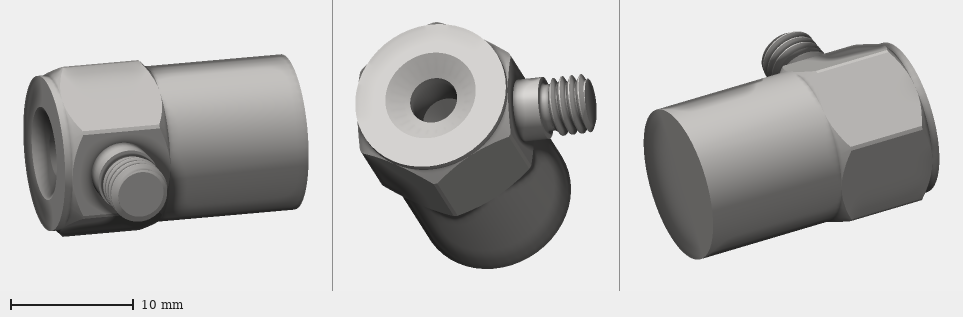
import cadquery as cq
import math

BODY_DIAMETER = 12.7
BODY_LENGTH = 20.57
BODY_RADIUS = BODY_DIAMETER / 2

HEX_START = 0.635
HEX_END = 8.89
HEX_CORNER_DIAMETER = 14.48
HEX_CORNER_RADIUS = HEX_CORNER_DIAMETER / 2
HEX_CHAMFER = HEX_CORNER_RADIUS - BODY_RADIUS

COUNTERSINK_DIAMETER = 7.62
COUNTERSINK_DEPTH = 1.0
BORE_DIAMETER = 3.96
BORE_END = 5.08
DRILL_TIP_ANGLE = 118.0

CONNECTOR_Y = (HEX_START + HEX_END) / 2
COLLAR_DIAMETER = 5.08
COLLAR_END = 8.45
NECK_FILLET = 0.2
CONNECTOR_LENGTH = 5.87
CONNECTOR_END = BODY_RADIUS + CONNECTOR_LENGTH

THREAD_MAJOR_DIAMETER = 4.83
THREAD_MINOR_DIAMETER = 3.81
INCH = 25.4
THREADS_PER_INCH = 32
THREAD_PITCH = INCH / THREADS_PER_INCH
THREAD_START = 9.13
THREAD_RUNOUT = 0.3
THREAD_FLANK_ANGLE = 30.0
CREST_FLAT = THREAD_PITCH / 8
CREST_TOP_X = 10.02
MAJOR_RADIUS = THREAD_MAJOR_DIAMETER / 2
MINOR_RADIUS = THREAD_MINOR_DIAMETER / 2
ROOT_OVERLAP = 0.1
CREST_CLEARANCE = 0.1


def cylinder_along_y(radius, start, end):
    return cq.Workplane("XZ", origin=(0, start, 0)).circle(radius).extrude(start - end)


def revolve_about_y(outline):
    """Revolve a closed outline of (radius, y) points about the Y axis."""
    return cq.Workplane("XY").polyline(outline).close().revolve(360, (0, 0, 0), (0, 1, 0))


def make_housing():
    body = cylinder_along_y(BODY_RADIUS, 0, BODY_LENGTH)
    hexagon = (
        cq.Workplane("XZ", origin=(0, HEX_START, 0))
        .polygon(6, BODY_DIAMETER, circumscribed=True)
        .extrude(HEX_START - HEX_END)
    )
    corner_envelope = revolve_about_y([
        (0, HEX_START),
        (BODY_RADIUS, HEX_START),
        (HEX_CORNER_RADIUS, HEX_START + HEX_CHAMFER),
        (HEX_CORNER_RADIUS, HEX_END - HEX_CHAMFER),
        (BODY_RADIUS, HEX_END),
        (0, HEX_END),
    ])
    return body.union(hexagon.intersect(corner_envelope))


def make_mounting_hole():
    bore_radius = BORE_DIAMETER / 2
    tip_length = bore_radius / math.tan(math.radians(DRILL_TIP_ANGLE / 2))
    return revolve_about_y([
        (0, 0),
        (COUNTERSINK_DIAMETER / 2, 0),
        (bore_radius, COUNTERSINK_DEPTH),
        (bore_radius, BORE_END),
        (0, BORE_END + tip_length),
    ])


def make_connector_core():
    """Collar, filleted neck and thread core, turned about X and rooted inside the housing."""
    collar_radius = COLLAR_DIAMETER / 2
    collar_root = (BODY_RADIUS + BORE_DIAMETER / 2) / 2
    fillet_side = NECK_FILLET * (1 - math.sqrt(0.5))
    return (
        cq.Workplane("XY")
        .moveTo(collar_root, 0)
        .lineTo(collar_root, collar_radius)
        .lineTo(COLLAR_END, collar_radius)
        .lineTo(COLLAR_END, MINOR_RADIUS + NECK_FILLET)
        .threePointArc(
            (COLLAR_END + fillet_side, MINOR_RADIUS + fillet_side),
            (COLLAR_END + NECK_FILLET, MINOR_RADIUS),
        )
        .lineTo(CONNECTOR_END, MINOR_RADIUS)
        .lineTo(CONNECTOR_END, 0)
        .close()
        .revolve(360, (0, 0, 0), (1, 0, 0))
    )


def make_thread():
    """Helical ridge, tapered down to the core at both ends."""
    root_radius = MINOR_RADIUS - ROOT_OVERLAP
    half_crest = CREST_FLAT / 2
    flank_slope = math.tan(math.radians(THREAD_FLANK_ANGLE))
    half_base = half_crest + (MAJOR_RADIUS - MINOR_RADIUS) * flank_slope

    turns_before = math.ceil((CREST_TOP_X - THREAD_START) / THREAD_PITCH)
    ridge_start = CREST_TOP_X - turns_before * THREAD_PITCH
    turns = math.ceil((CONNECTOR_END - ridge_start) / THREAD_PITCH) + 1

    helix = cq.Wire.makeHelix(THREAD_PITCH, turns * THREAD_PITCH, root_radius)
    ridge = (
        cq.Workplane("XZ")
        .polyline([
            (root_radius, -half_base),
            (MINOR_RADIUS, -half_base),
            (MAJOR_RADIUS, -half_crest),
            (MAJOR_RADIUS, half_crest),
            (MINOR_RADIUS, half_base),
            (root_radius, half_base),
        ])
        .close()
        .sweep(cq.Workplane(obj=helix), isFrenet=True)
        .rotate((0, 0, 0), (0, 1, 0), 90)
        .rotate((0, 0, 0), (1, 0, 0), 180)
        .translate((ridge_start, 0, 0))
    )
    envelope = (
        cq.Workplane("XY")
        .polyline([
            (THREAD_START, 0),
            (THREAD_START, MINOR_RADIUS),
            (THREAD_START + THREAD_RUNOUT, MAJOR_RADIUS + CREST_CLEARANCE),
            (CONNECTOR_END - THREAD_RUNOUT, MAJOR_RADIUS + CREST_CLEARANCE),
            (CONNECTOR_END, MINOR_RADIUS),
            (CONNECTOR_END, 0),
        ])
        .close()
        .revolve(360, (0, 0, 0), (1, 0, 0))
    )
    return ridge.intersect(envelope)


def make_connector():
    return make_connector_core().union(make_thread()).translate((0, CONNECTOR_Y, 0))


result = make_housing().union(make_connector()).cut(make_mounting_hole())